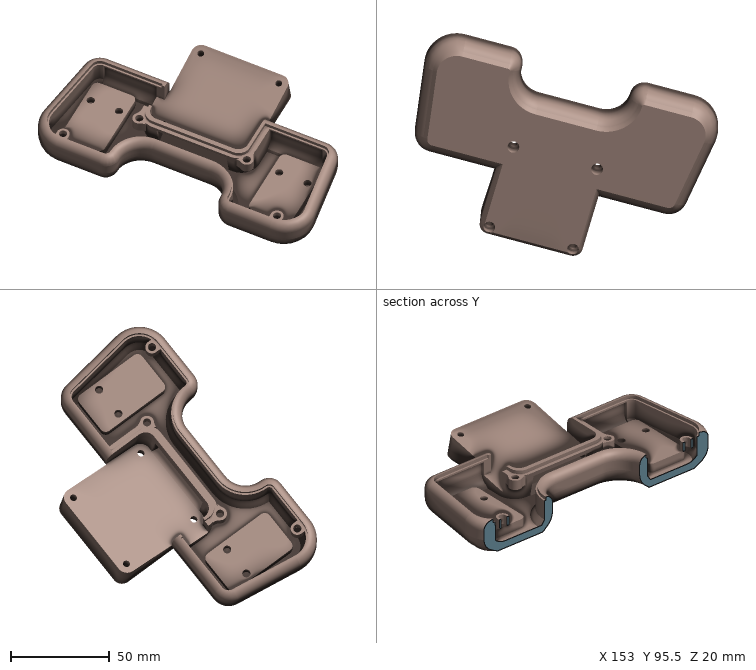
import cadquery as cq
import math

width = 153.0
half_width = width / 2
total_depth = 95.5
tray_depth = 62.8
height = 20.0
floor_z = 2.9
front_corner_r = 16.4
back_corner_r = 9.5
side_tilt = math.radians(8.2)
notch_half_width = 28.5
notch_depth = 19.9
notch_lip_r = 7.3
notch_r = notch_depth - notch_lip_r

rim_r = 4.7
belly_z = 9.8
belly_foot_z = 1.8
belly_foot_inset = 4.3
base_inset = 6.3

ledge_z = 18.0
ledge_inset = 4.6
wall = 5.5
floor_bevel_width = 2.8
floor_bevel_height = 4.1
recess_wall = 3.5
recess_r = 6.0
recess_top_z = 17.1
recess_end_x = 61.8

tilt = math.radians(12.0)
plate_size = 53.9
plate_r = 5.0
plate_back_z = 16.8
platform_foot_z = 2.9
platform_foot_inset = 2.3
plate_hole_pitch = 44.0
plate_hole_d = 3.5
counterbore_d = 6.0
counterbore_z = 3.7

collar_gap = 0.3
collar_offset = 4.9
lip_half_width = 29.0
lip_front_y = 34.1
lip_r = 6.1
window_width = 39.3
window_top_z = 15.5
ramp_foot_y = 35.0
side_gap_front_y = 43.0

screw_d = 4.1
boss_d = 7.0
boss_bottom_z = 12.5
collar_boss = (30.3, 34.5)
flare_r = 6.0
front_boss_d = 6.7
front_boss = (60.3, 8.3)

pad_width = 24.0
pad_length = 40.1
pad_r = 3.0
pad_z = 8.1
pad_center = (52.8, 33.4)
pad_hole_x = (45.1, 61.0)
pad_hole_y = 41.3
pad_hole_depth = 4.0

plate_back_y = total_depth - (plate_back_z - platform_foot_z) * math.tan(tilt)
plate_front_y = plate_back_y - plate_size * math.cos(tilt)
plate_center_y = plate_back_y - plate_size / 2 * math.cos(tilt)
plate_center_z = plate_back_z - plate_size / 2 * math.sin(tilt)
plate_front_z = plate_back_z - plate_size * math.sin(tilt)
plate_plane = cq.Plane(
    origin=(0, plate_center_y, plate_center_z),
    xDir=(1, 0, 0),
    normal=(0, -math.sin(tilt), math.cos(tilt)),
)

reach = 30.6
mid = math.sqrt(0.5)
lip_center_x = notch_half_width + notch_lip_r
collar_half_width = plate_size / 2 + collar_offset


def tray_outline(inset=0.0):
    """Closed outline of the tray at Z = 0, shrunk by inset."""
    front_x = half_width - front_corner_r
    notch_x = notch_half_width - notch_r
    lean = (math.cos(side_tilt), math.sin(side_tilt))
    front_end = (front_x + front_corner_r * lean[0], front_corner_r + front_corner_r * lean[1])
    back_end_y = tray_depth - back_corner_r + back_corner_r * lean[1]
    back_end_x = front_end[0] - (back_end_y - front_end[1]) * math.tan(side_tilt)
    back_x = back_end_x - back_corner_r * lean[0]
    front_mid = (front_x + front_corner_r * mid, front_corner_r - front_corner_r * mid)
    back_mid = (back_x + back_corner_r * mid, tray_depth - back_corner_r + back_corner_r * mid)
    lip_mid = (lip_center_x - notch_lip_r * mid, notch_lip_r - notch_lip_r * mid)
    notch_mid = (notch_x + notch_r * mid, notch_lip_r + notch_r * mid)

    def left(point):
        return (-point[0], point[1])

    outline = (
        cq.Workplane("XY")
        .moveTo(lip_center_x, 0)
        .lineTo(front_x, 0)
        .threePointArc(front_mid, front_end)
        .lineTo(back_end_x, back_end_y)
        .threePointArc(back_mid, (back_x, tray_depth))
        .lineTo(-back_x, tray_depth)
        .threePointArc(left(back_mid), (-back_end_x, back_end_y))
        .lineTo(*left(front_end))
        .threePointArc(left(front_mid), (-front_x, 0))
        .lineTo(-lip_center_x, 0)
        .threePointArc(left(lip_mid), (-notch_half_width, notch_lip_r))
        .threePointArc(left(notch_mid), (-notch_x, notch_depth))
        .lineTo(notch_x, notch_depth)
        .threePointArc(notch_mid, (notch_half_width, notch_lip_r))
        .threePointArc(lip_mid, (lip_center_x, 0))
        .close()
    )
    return outline.offset2D(-inset) if inset else outline


def prism(inset, bottom, top):
    """Upright prism on the inset tray outline between two heights."""
    return tray_outline(inset).extrude(top - bottom).translate((0, 0, bottom))


def tray_body():
    """Solid tray with a rounded rim and a rounded, bevelled underside."""
    block = prism(0, 0, height).faces(">Z").edges().fillet(rim_r)
    margin = 1.5
    drop = belly_z - belly_foot_z
    belly_r = (drop**2 + belly_foot_inset**2) / (2 * belly_foot_inset)
    half_sweep = math.asin(drop / belly_r) / 2
    belly_mid = (belly_r * (1 - math.cos(half_sweep)), belly_z - belly_r * math.sin(half_sweep))
    underside = (
        cq.Workplane("YZ", origin=(lip_center_x, 0, 0))
        .moveTo(-margin, -margin)
        .lineTo(base_inset, -margin)
        .lineTo(base_inset, 0)
        .lineTo(belly_foot_inset, belly_foot_z)
        .threePointArc(belly_mid, (0, belly_z))
        .lineTo(-margin, belly_z)
        .close()
        .sweep(tray_outline(), transition="right")
    )
    return block.cut(underside)


def back_recess():
    """Right-hand undercut in the back wall, from the collar to the corner rounding."""
    wall_y = tray_depth - recess_wall
    center_y = wall_y - recess_r
    diagonal = recess_r * mid
    return (
        cq.Workplane("YZ", origin=(collar_half_width, 0, 0))
        .moveTo(center_y, belly_z - recess_r)
        .threePointArc((center_y + diagonal, belly_z - diagonal), (wall_y, belly_z))
        .lineTo(wall_y, recess_top_z)
        .lineTo(center_y, recess_top_z)
        .close()
        .extrude(recess_end_x - collar_half_width)
    )


def tray_cavity():
    """Room inside the tray: cover ledge, walls bevelled at the floor, undercut back wall."""
    ledge = prism(ledge_inset, ledge_z, height)
    bevel_top = floor_z + floor_bevel_height
    bevel_angle = math.degrees(math.atan(floor_bevel_width / floor_bevel_height))
    room = prism(wall, bevel_top, height)
    bevel = tray_outline(wall).extrude(-floor_bevel_height, taper=bevel_angle).translate((0, 0, bevel_top))
    recess = back_recess()
    return ledge.union(room).union(bevel).union(recess).union(recess.mirror("YZ"))


def plate_prism(offset, below, above):
    """Platform outline grown by offset, square to the tilted platform face."""
    side = plate_size + 2 * offset
    return (
        cq.Workplane(plate_plane)
        .workplane(offset=-below)
        .rect(side, side)
        .extrude(below + above)
        .edges(cq.selectors.ParallelDirSelector(plate_plane.zDir))
        .fillet(plate_r + offset)
    )


def slab(bottom, top):
    """Large horizontal block used to limit other solids in height."""
    span = 2 * width
    return cq.Workplane("XY", origin=(0, 0, bottom)).rect(span, span).extrude(top - bottom)


def platform():
    """Tilted platform with a tapered foot and a ramp in front of it."""
    upper = plate_prism(0, reach, 0).intersect(slab(platform_foot_z, reach))
    taper = math.degrees(math.atan(platform_foot_inset / platform_foot_z))
    foot_length = 2 * (total_depth - tray_depth)
    foot = (
        cq.Workplane("XY", origin=(0, total_depth - foot_length / 2, platform_foot_z))
        .rect(plate_size - 2 * plate_r, foot_length - 2 * plate_r)
        .offset2D(plate_r)
        .extrude(-platform_foot_z, taper=taper)
    )
    ramp = (
        cq.Workplane("YZ", origin=(-window_width / 2, 0, 0))
        .moveTo(ramp_foot_y, floor_z)
        .lineTo(plate_front_y, plate_front_z)
        .lineTo(plate_front_y + plate_r, floor_z)
        .close()
        .extrude(window_width)
    )
    return upper.union(foot).union(ramp)


def toward(start, target, distance):
    """Point at the given distance from start in the direction of target."""
    gap = math.dist(start, target)
    return tuple(a + (b - a) * distance / gap for a, b in zip(start, target))


def flare_arc(flare_center, wall_point):
    """Middle and end of the concave arc from a wall point to the collar boss."""
    boss_point = toward(flare_center, collar_boss, flare_r)
    chord_mid = tuple((a + b) / 2 for a, b in zip(wall_point, boss_point))
    return toward(flare_center, chord_mid, flare_r), boss_point


def collar_boss_post():
    """Right-hand boss at the collar corner, blended into both collar walls."""
    boss_x, boss_y = collar_boss
    boss_r = boss_d / 2
    wall_y = plate_front_y - collar_offset / math.cos(tilt) - (ledge_z - plate_front_z) * math.tan(tilt)
    side_rise = math.sqrt((boss_r + flare_r) ** 2 - (collar_half_width + flare_r - boss_x) ** 2)
    front_run = math.sqrt((boss_r + flare_r) ** 2 - (boss_y - wall_y + flare_r) ** 2)
    side_start = (collar_half_width, boss_y + side_rise)
    front_start = (boss_x - front_run, wall_y)
    side_mid, side_end = flare_arc((collar_half_width + flare_r, boss_y + side_rise), side_start)
    front_mid, front_end = flare_arc((boss_x - front_run, wall_y - flare_r), front_start)
    tip = (boss_x + boss_r * mid, boss_y - boss_r * mid)
    return (
        cq.Workplane("XY", origin=(0, 0, boss_bottom_z))
        .moveTo(*side_start)
        .threePointArc(side_mid, side_end)
        .threePointArc(tip, front_end)
        .threePointArc(front_mid, front_start)
        .close()
        .extrude(ledge_z - boss_bottom_z)
    )


def collar():
    """Wall around the platform, with a raised lip, corner bosses and a front window."""
    inside = prism(ledge_inset, floor_z, height)
    lip_length = tray_depth + reach - lip_front_y
    lip = (
        cq.Workplane("XY", origin=(0, lip_front_y + lip_length / 2, ledge_z))
        .rect(2 * lip_half_width, lip_length)
        .extrude(height - ledge_z)
        .edges("|Z")
        .fillet(lip_r)
    )
    post = collar_boss_post()
    window = (
        cq.Workplane("XY", origin=(0, plate_front_y - reach / 2, floor_z))
        .rect(window_width, reach)
        .extrude(window_top_z - floor_z)
    )
    return (
        plate_prism(collar_offset, reach, reach)
        .intersect(slab(floor_z, ledge_z).union(lip))
        .intersect(inside)
        .union(post)
        .union(post.mirror("YZ"))
        .cut(window)
    )


def side_gap():
    """Opening in the left collar wall, from the front of the gap to the tray's back wall."""
    length = tray_depth - wall - side_gap_front_y
    gap_width = collar_offset + collar_gap
    above_plate = plate_prism(reach, 0, reach)
    return (
        cq.Workplane("XY", origin=(-collar_half_width, side_gap_front_y, 0))
        .rect(gap_width, length, centered=False)
        .extrude(reach)
        .intersect(above_plate)
    )


def front_boss_post():
    """Right-hand boss near the front edge, carried straight into the front wall."""
    x, y = front_boss
    web_length = y - ledge_inset
    return (
        cq.Workplane("XY", origin=(x, y, boss_bottom_z))
        .circle(front_boss_d / 2)
        .extrude(ledge_z - boss_bottom_z)
        .union(
            cq.Workplane("XY", origin=(x, y - web_length / 2, boss_bottom_z))
            .rect(front_boss_d, web_length)
            .extrude(ledge_z - boss_bottom_z)
        )
    )


def pads():
    """Raised rectangular pads, rooted halfway into the floor."""
    return (
        cq.Workplane("XY", origin=(0, 0, floor_z / 2))
        .pushPoints([(side * pad_center[0], pad_center[1]) for side in (-1, 1)])
        .rect(pad_width, pad_length)
        .extrude(pad_z - floor_z / 2)
        .edges("|Z")
        .fillet(pad_r)
    )


def screw_holes(points, top, depth):
    """Screw holes at the given right-hand points and their mirror images."""
    return (
        cq.Workplane("XY", origin=(0, 0, top - depth))
        .pushPoints([(side * x, y) for side in (-1, 1) for x, y in points])
        .circle(screw_d / 2)
        .extrude(depth)
    )


def plate_holes():
    """Four through holes square to the platform, counterbored from below."""

    def bore(diameter):
        return (
            cq.Workplane(plate_plane)
            .workplane(offset=-reach)
            .rect(plate_hole_pitch, plate_hole_pitch, forConstruction=True)
            .vertices()
            .circle(diameter / 2)
            .extrude(2 * reach)
        )

    return bore(plate_hole_d).union(bore(counterbore_d).intersect(slab(-reach, counterbore_z)))


front_post = front_boss_post()
result = (
    tray_body()
    .cut(tray_cavity())
    .union(collar())
    .cut(plate_prism(collar_gap, 0, reach))
    .cut(side_gap())
    .union(platform())
    .union(front_post)
    .union(front_post.mirror("YZ"))
    .union(pads())
    .cut(screw_holes([collar_boss, front_boss], ledge_z, ledge_z - boss_bottom_z))
    .cut(screw_holes([(x, pad_hole_y) for x in pad_hole_x], pad_z, pad_hole_depth))
    .cut(plate_holes())
)